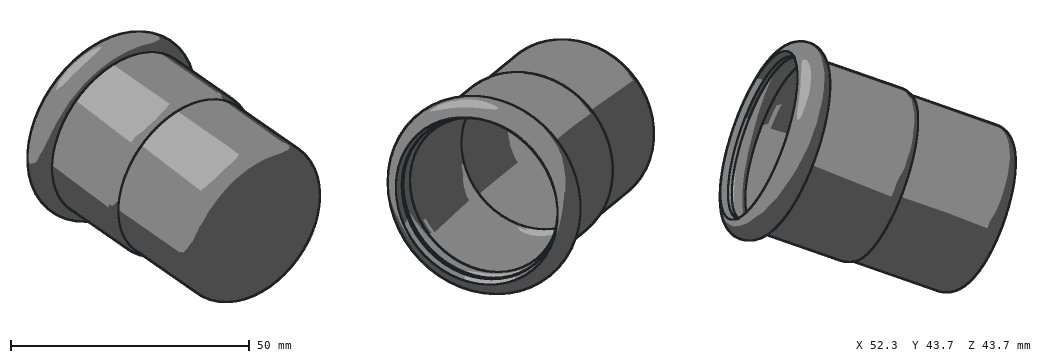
import cadquery as cq
import math

length = 52.3
body_radius = 38.4 / 2
spigot_radius = 37.0 / 2
bore_radius = 35.4 / 2
reduced_bore_radius = 34.0 / 2
spigot_bore_radius = 33.0 / 2
stop_chamfer = reduced_bore_radius - spigot_bore_radius
spigot_wall = spigot_radius - spigot_bore_radius

bead_outer_radius = 43.65 / 2
bead_section_radius = 3.75
bead_center_radius = bead_outer_radius - bead_section_radius
mouth_radius = 37.25 / 2
lip_radius = 35.8 / 2
lip_start_x = 1.4
seal_start_x = 2.3
seal_end_x = 5.45
seal_crest_radius = 17.3
taper_start_x = 6.7
bore_start_x = 7.55

reduction_start_x = 26.05
reduction_end_x = 28.15
end_rounding = 3.9
inner_rounding = end_rounding - spigot_wall
end_inner_x = length - spigot_wall


def half_chord(radius):
    """Half the axial width of the bead at a distance from the part axis."""
    return math.sqrt(bead_section_radius**2 - (radius - bead_center_radius) ** 2)


def point_on_arc(center, section_radius, angle_degrees):
    """Point on a circle of the axial section."""
    angle = math.radians(angle_degrees)
    return (
        center[0] + section_radius * math.cos(angle),
        center[1] + section_radius * math.sin(angle),
    )


bead_center_x = half_chord(mouth_radius)
bead_center = (bead_center_x, bead_center_radius)
bead_end_x = bead_center_x + half_chord(body_radius)
seal_crest = ((seal_start_x + seal_end_x) / 2, seal_crest_radius)
reduction_drop = body_radius - spigot_radius
reduction_run = reduction_end_x - reduction_start_x
reduction_radius = (reduction_run**2 + reduction_drop**2) / (2 * reduction_drop)


def add_outside(profile):
    """Bead, body, curved reduction and rounded spigot end."""
    rounding_center = (length - end_rounding, spigot_radius - end_rounding)
    return (
        profile.threePointArc(point_on_arc(bead_center, bead_section_radius, 90), (bead_end_x, body_radius))
        .lineTo(reduction_start_x, body_radius)
        .radiusArc((reduction_end_x, spigot_radius), reduction_radius)
        .lineTo(length - end_rounding, spigot_radius)
        .threePointArc(point_on_arc(rounding_center, end_rounding, 45), (length, rounding_center[1]))
        .lineTo(length, 0)
    )


def add_inside(profile):
    """Closed floor, stepped bore, seal ridge and tapered mouth, back to the start."""
    rounding_center = (end_inner_x - inner_rounding, spigot_bore_radius - inner_rounding)
    return (
        profile.lineTo(end_inner_x, 0)
        .lineTo(end_inner_x, rounding_center[1])
        .threePointArc(
            point_on_arc(rounding_center, inner_rounding, 45),
            (rounding_center[0], spigot_bore_radius),
        )
        .lineTo(reduction_end_x + stop_chamfer, spigot_bore_radius)
        .lineTo(reduction_end_x, reduced_bore_radius)
        .radiusArc((reduction_start_x, bore_radius), -reduction_radius)
        .lineTo(bore_start_x, bore_radius)
        .lineTo(taper_start_x, lip_radius)
        .lineTo(seal_end_x, lip_radius)
        .threePointArc(seal_crest, (seal_start_x, lip_radius))
        .lineTo(lip_start_x, lip_radius)
        .close()
    )


profile = cq.Workplane("XY").moveTo(0, mouth_radius)
profile = add_inside(add_outside(profile))
result = profile.revolve(360, (0, 0, 0), (1, 0, 0))